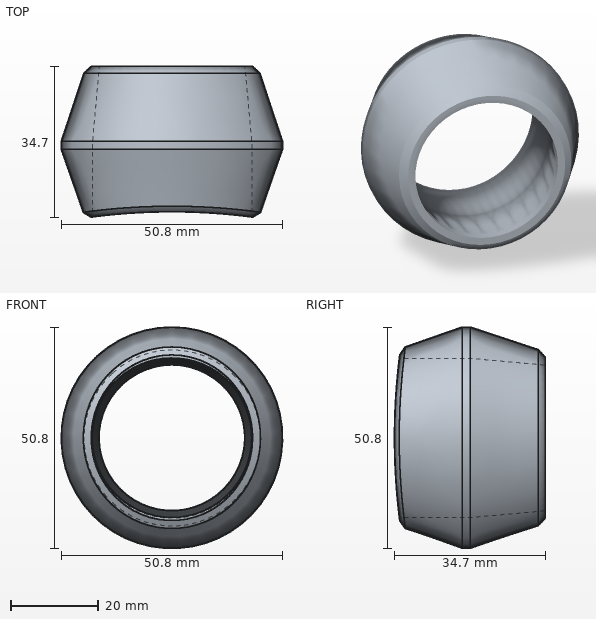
import cadquery as cq

length = 34.6
max_radius = 25.4
band_back = 17.3
band_width = 1.8
back_cone_radius = 20.2
back_bevel_length = 1.7
back_bevel_width = 1.8
front_cone_radius = 19.95
front_overrun = 1.5
front_bore_radius = 18.3
back_bore_radius = 16.7
bore_taper_start = 17.05
saddle_radius = 142.25
saddle_crown = 1.15
saddle_chamfer = 1.35

band_front = band_back - band_width
front_cone_slope = (max_radius - front_cone_radius) / band_front
stock_front_radius = front_cone_radius - front_cone_slope * front_overrun


def revolve_about_y(points):
    """Revolve a closed (radius, Y) outline about the Y axis."""
    outline = [(y, radius) for radius, y in points]
    profile = cq.Workplane("YZ").polyline(outline).close()
    return profile.revolve(360, (0, 0, 0), (1, 0, 0))


body = revolve_about_y([
    (0, -front_overrun),
    (stock_front_radius, -front_overrun),
    (max_radius, band_front),
    (max_radius, band_back),
    (back_cone_radius, length - back_bevel_length),
    (back_cone_radius - back_bevel_width, length),
    (0, length),
])

saddle = (
    cq.Workplane("XY")
    .center(0, saddle_crown - saddle_radius)
    .circle(saddle_radius)
    .extrude(max_radius, both=True)
)
body = body.cut(saddle)
body = body.faces("<Y").edges().chamfer(saddle_chamfer)

bore = revolve_about_y([
    (0, -front_overrun),
    (front_bore_radius, -front_overrun),
    (front_bore_radius, bore_taper_start),
    (back_bore_radius, length),
    (0, length),
])

result = body.cut(bore)